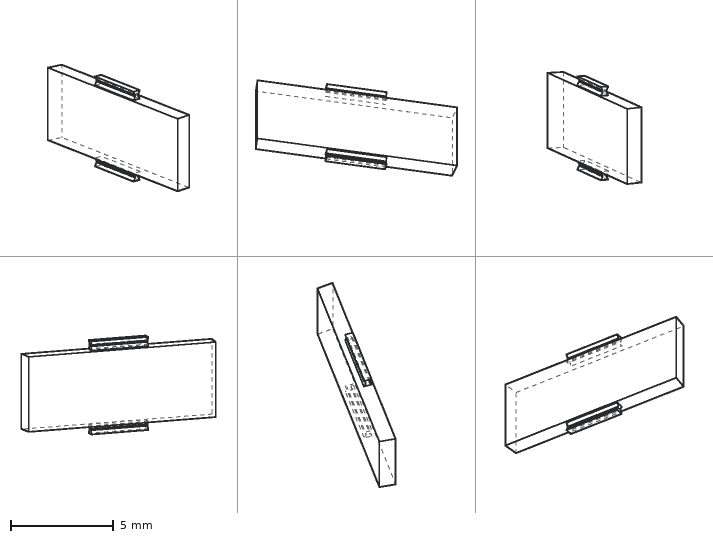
import cadquery as cq

plate_length = 10.0
plate_thickness = 0.81
plate_height = 3.76
end_taper = 0.09

rail_length = 2.98
rail_height = 0.45
rail_width = 0.4
rail_front = 0.095
groove_depth = 0.1
lower_flank_height = 0.18
waist_height = 0.08


def make_plate():
    """Plate with a trapezoidal outline in XY, centred on Z = 0."""
    front_x = plate_length / 2
    back_x = front_x - end_taper
    outline = [
        (-front_x, 0),
        (front_x, 0),
        (back_x, plate_thickness),
        (-back_x, plate_thickness),
    ]
    return (
        cq.Workplane("XY")
        .workplane(offset=-plate_height / 2)
        .polyline(outline)
        .close()
        .extrude(plate_height)
    )


def make_top_rail():
    """Rail on the top face, with a flat-bottomed V groove along each side."""
    rail_back = rail_front + rail_width
    waist_front = rail_front + groove_depth
    waist_back = rail_back - groove_depth
    base_z = plate_height / 2
    tip_z = base_z + rail_height
    waist_bottom_z = base_z + lower_flank_height
    waist_top_z = waist_bottom_z + waist_height
    profile = [
        (rail_front, base_z),
        (waist_front, waist_bottom_z),
        (waist_front, waist_top_z),
        (rail_front, tip_z),
        (rail_back, tip_z),
        (waist_back, waist_top_z),
        (waist_back, waist_bottom_z),
        (rail_back, base_z),
    ]
    return (
        cq.Workplane("YZ")
        .polyline(profile)
        .close()
        .extrude(rail_length / 2, both=True)
    )


top_rail = make_top_rail()
bottom_rail = top_rail.mirror("XY")
result = make_plate().union(top_rail).union(bottom_rail)